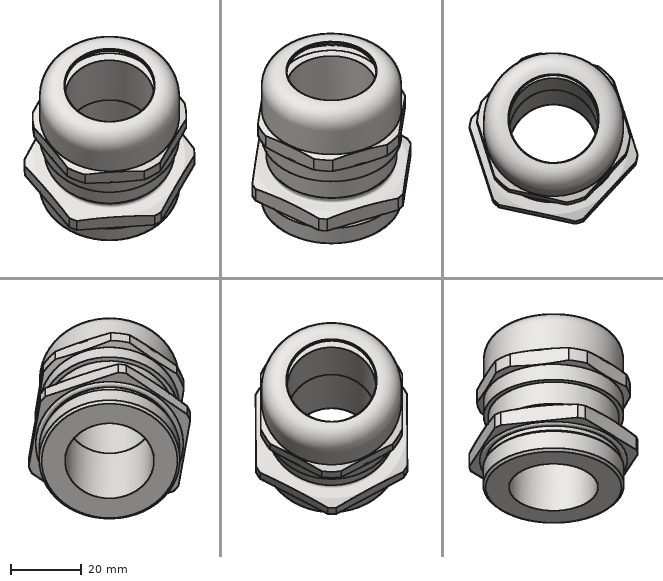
import cadquery as cq
import math


bore_radius = 12.65
seal_outer_radius = 15.1
seal_bottom_z = 23.65

thread_radius = 20.0
thread_top_z = 7.2
thread_chamfer = 0.75
lower_neck_radius = 19.1
housing_hex_bottom_z = 8.95
housing_hex_top_z = 14.05
housing_hex_width = 43.0
housing_hex_half_flats = housing_hex_width / 2
housing_hex_corner_radius = 24.2
upper_neck_radius = 17.75
upper_neck_fillet = 0.75
cap_thread_radius = 18.55
cap_thread_bottom_z = 15.7
housing_top_z = 42.8
housing_top_fillet = 2.05

oring_section_radius = 0.9
oring_center_radius = lower_neck_radius + oring_section_radius
oring_center_z = 9.15

cap_radius = 19.85
cap_bottom_z = 23.65
cap_top_z = 48.0
dome_radius = 5.45
cap_hole_radius = 12.7
cap_hole_chamfer = 0.2
cone_top_z = 47.15
cone_bottom_z = 41.7
cap_hex_bottom_z = 28.8
cap_hex_top_z = 33.8
cap_hex_half_flats = 20.15
cap_hex_corner_radius = 21.8
cap_twist = -0.5

hex_chamfer_angle = 15.0
diagonal = math.sqrt(0.5)


def revolve_about_z(profile):
    """Close an XZ profile, drawn as (radius, height), and revolve it about Z."""
    return profile.close().revolve(360, (0, 0, 0), (0, 1, 0))


def chamfer_drop(half_flats, corner_radius):
    """Height lost by the chamfer cone between the flats and the corners."""
    return (corner_radius - half_flats) * math.tan(math.radians(hex_chamfer_angle))


def hexagon(half_flats, bottom_z, top_z):
    """Hexagonal prism with two of its flats facing -X and +X."""
    corner_diameter = 2 * half_flats / math.cos(math.radians(30))
    base = cq.Workplane("XY").workplane(offset=bottom_z).polygon(6, corner_diameter)
    prism = base.extrude(top_z - bottom_z)
    return prism.rotate((0, 0, 0), (0, 0, 1), 30)


def housing_hexagon():
    """Hexagon with rounded corners, chamfered on top only."""
    drop = chamfer_drop(housing_hex_half_flats, housing_hex_corner_radius)
    envelope = revolve_about_z(
        cq.Workplane("XZ")
        .moveTo(0, housing_hex_bottom_z)
        .lineTo(housing_hex_corner_radius, housing_hex_bottom_z)
        .lineTo(housing_hex_corner_radius, housing_hex_top_z - drop)
        .lineTo(housing_hex_half_flats, housing_hex_top_z)
        .lineTo(0, housing_hex_top_z)
    )
    return hexagon(housing_hex_half_flats, housing_hex_bottom_z, housing_hex_top_z).intersect(envelope)


def make_oring():
    return (
        cq.Workplane("XZ")
        .center(oring_center_radius, oring_center_z)
        .circle(oring_section_radius)
        .revolve(360, (-oring_center_radius, 0, 0), (-oring_center_radius, 1, 0))
    )


def make_housing():
    thread_step = thread_radius - lower_neck_radius
    cap_thread_step = cap_thread_radius - upper_neck_radius
    fillet_offset = upper_neck_fillet * (1 - diagonal)
    top_fillet_offset = housing_top_fillet * (1 - diagonal)
    body = revolve_about_z(
        cq.Workplane("XZ")
        .moveTo(0, 0)
        .lineTo(thread_radius - thread_chamfer, 0)
        .lineTo(thread_radius, thread_chamfer)
        .lineTo(thread_radius, thread_top_z - thread_step)
        .lineTo(lower_neck_radius, thread_top_z)
        .lineTo(lower_neck_radius, housing_hex_top_z)
        .lineTo(upper_neck_radius + upper_neck_fillet, housing_hex_top_z)
        .threePointArc(
            (upper_neck_radius + fillet_offset, housing_hex_top_z + fillet_offset),
            (upper_neck_radius, housing_hex_top_z + upper_neck_fillet),
        )
        .lineTo(upper_neck_radius, cap_thread_bottom_z)
        .lineTo(cap_thread_radius, cap_thread_bottom_z + cap_thread_step)
        .lineTo(cap_thread_radius, housing_top_z - housing_top_fillet)
        .threePointArc(
            (cap_thread_radius - top_fillet_offset, housing_top_z - top_fillet_offset),
            (cap_thread_radius - housing_top_fillet, housing_top_z),
        )
        .lineTo(0, housing_top_z)
    )
    through_bore = cq.Workplane("XY").circle(bore_radius).extrude(housing_top_z)
    seal_pocket = (
        cq.Workplane("XY")
        .workplane(offset=seal_bottom_z)
        .circle(seal_outer_radius)
        .extrude(housing_top_z - seal_bottom_z)
    )
    return body.union(housing_hexagon()).cut(through_bore).cut(seal_pocket).cut(make_oring())


def make_seal():
    """Plain sleeve, flush with the top of the housing."""
    return (
        cq.Workplane("XY")
        .workplane(offset=seal_bottom_z)
        .circle(seal_outer_radius)
        .circle(bore_radius)
        .extrude(housing_top_z - seal_bottom_z)
    )


def cap_hexagon():
    """Hexagon with rounded corners, chamfered on both sides."""
    drop = chamfer_drop(cap_hex_half_flats, cap_hex_corner_radius)
    envelope = revolve_about_z(
        cq.Workplane("XZ")
        .moveTo(0, cap_hex_bottom_z)
        .lineTo(cap_hex_half_flats, cap_hex_bottom_z)
        .lineTo(cap_hex_corner_radius, cap_hex_bottom_z + drop)
        .lineTo(cap_hex_corner_radius, cap_hex_top_z - drop)
        .lineTo(cap_hex_half_flats, cap_hex_top_z)
        .lineTo(0, cap_hex_top_z)
    )
    return hexagon(cap_hex_half_flats, cap_hex_bottom_z, cap_hex_top_z).intersect(envelope)


def cap_cavity():
    """Thread bore, clamping cone and chamfered cable hole, from bottom to top."""
    return revolve_about_z(
        cq.Workplane("XZ")
        .moveTo(0, cap_bottom_z)
        .lineTo(cap_thread_radius, cap_bottom_z)
        .lineTo(cap_thread_radius, cone_bottom_z)
        .lineTo(cap_hole_radius, cone_top_z)
        .lineTo(cap_hole_radius, cap_top_z - cap_hole_chamfer)
        .lineTo(cap_hole_radius + cap_hole_chamfer, cap_top_z)
        .lineTo(0, cap_top_z)
    )


def make_cap():
    dome = (
        cq.Workplane("XY")
        .workplane(offset=cap_bottom_z)
        .circle(cap_radius)
        .extrude(cap_top_z - cap_bottom_z)
        .faces(">Z")
        .edges()
        .fillet(dome_radius)
    )
    cap = dome.union(cap_hexagon()).cut(cap_cavity())
    return cap.rotate((0, 0, 0), (0, 0, 1), cap_twist)


housing = make_housing()
oring = make_oring()
seal = make_seal()
cap = make_cap()

result = cq.Compound.makeCompound([
    housing.solids().val(),
    oring.solids().val(),
    seal.solids().val(),
    cap.solids().val(),
])